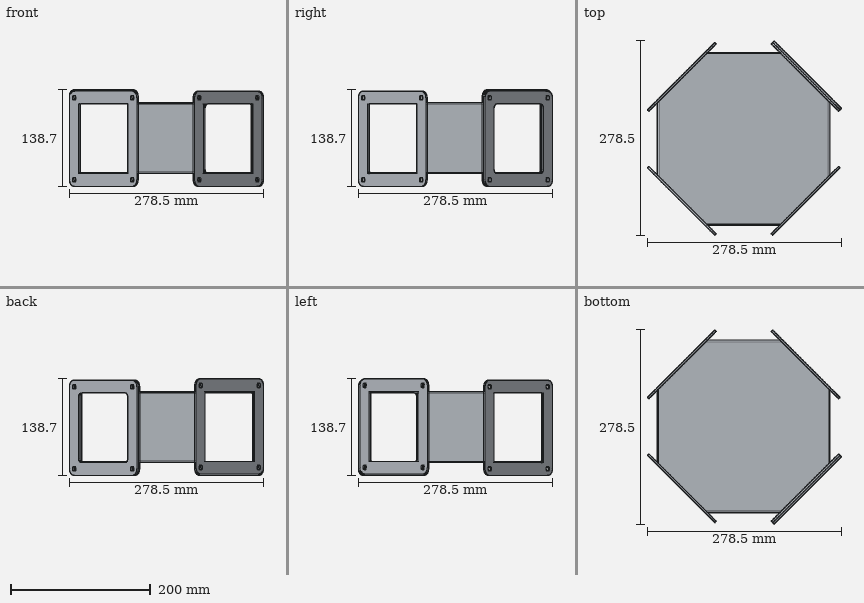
import cadquery as cq
import math

OCTAGON_SIDES = 8

overall_width = 278.5
frame_size = 136.7
frame_thickness = 3.0
frame_corner_radius = 9.7
opening_size = 100.0
gasket_opening_radius = 6.0
bolt_spacing = 117.5
bolt_hole_diameter = 7.0
sheet_thickness = 2.0
bend_radius = 3.0

diagonal_plates = 3 * frame_thickness
apothem = (overall_width * math.sqrt(2) - frame_size - diagonal_plates) / 2
across_flats = 2 * apothem
box_height = opening_size + sheet_thickness
wall_height = box_height - sheet_thickness
free_edge_length = across_flats - 2 * sheet_thickness
frame_offset = sheet_thickness / 2


def octagon_prism():
    """Octagonal envelope of the box, with flats facing X, Y and the diagonals."""
    half_sector = 180 / OCTAGON_SIDES
    circumdiameter = across_flats / math.cos(math.radians(half_sector))
    return (
        cq.Workplane("XY")
        .polygon(OCTAGON_SIDES, circumdiameter)
        .extrude(box_height / 2, both=True)
        .rotate((0, 0, 0), (0, 0, 1), half_sector)
    )


def channel_sheet():
    """Octagonal cover sheet on top, bent down into a wall on its -X and +X sides."""
    wall_center_z = (box_height - wall_height) / 2
    outer = (
        cq.Workplane("XY")
        .box(across_flats, free_edge_length, wall_height)
        .edges("|Y and >Z")
        .fillet(bend_radius)
    )
    inner = (
        cq.Workplane("XY")
        .box(across_flats - 2 * sheet_thickness, free_edge_length, wall_height)
        .edges("|Y and >Z")
        .fillet(bend_radius - sheet_thickness)
        .translate((0, 0, -sheet_thickness))
    )
    channel = outer.cut(inner).translate((0, 0, wall_center_z))
    return channel.intersect(octagon_prism())


def frame_plate(opening_radius=0):
    """Square plate standing in the XZ plane, its back on Y = 0 and its front facing -Y."""
    plate = (
        cq.Workplane("XZ")
        .rect(frame_size, frame_size)
        .extrude(frame_thickness)
        .edges("|Y")
        .fillet(frame_corner_radius)
    )
    opening = cq.Workplane("XZ").rect(opening_size, opening_size).extrude(frame_thickness)
    if opening_radius > 0:
        opening = opening.edges("|Y").fillet(opening_radius)
    bolt_holes = (
        cq.Workplane("XZ")
        .rect(bolt_spacing, bolt_spacing, forConstruction=True)
        .vertices()
        .circle(bolt_hole_diameter / 2)
        .extrude(frame_thickness)
    )
    return plate.cut(opening).cut(bolt_holes)


def place_on_diagonal(plate, angle, distance, height):
    """Move a plate out to a distance from the Z axis, then turn it from -Y by the angle."""
    return plate.translate((0, -distance, height)).rotate((0, 0, 0), (0, 0, 1), angle)


upper_sheet = channel_sheet()
lower_sheet = channel_sheet().rotate((0, 0, 0), (1, 1, 0), 180)

SOUTH_WEST, SOUTH_EAST, NORTH_EAST, NORTH_WEST = -45, 45, 135, 225
frame_heights = {
    SOUTH_WEST: -frame_offset,
    SOUTH_EAST: -frame_offset,
    NORTH_EAST: -frame_offset,
    NORTH_WEST: frame_offset,
}
frames = [
    place_on_diagonal(frame_plate(), angle, apothem, height)
    for angle, height in frame_heights.items()
]

gasket = place_on_diagonal(
    frame_plate(gasket_opening_radius),
    NORTH_EAST,
    apothem + frame_thickness,
    frame_heights[NORTH_EAST],
)

result = cq.Compound.makeCompound(
    [upper_sheet.val(), lower_sheet.val(), *[frame.val() for frame in frames], gasket.val()]
)